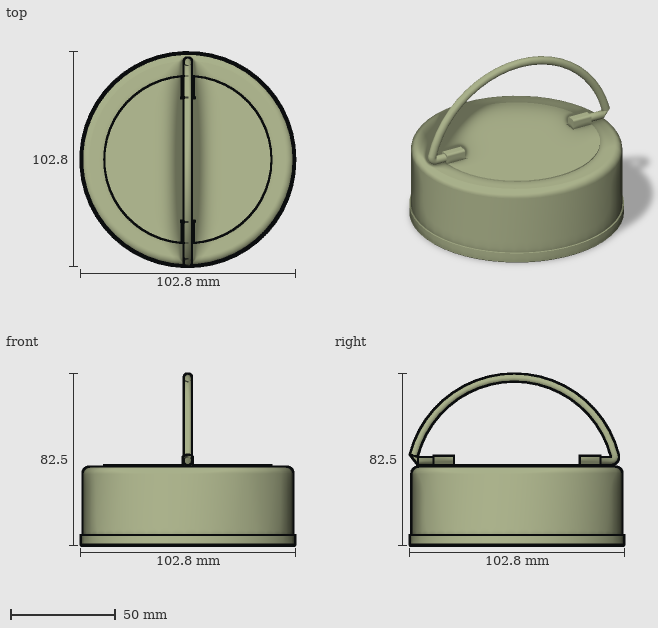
import cadquery as cq
import math

base_diameter = 102.8
base_height = 5.2
base_chamfer = 0.5

housing_diameter = 101.2
housing_top = 38.0
housing_fillet = 3.5
disc_diameter = 80.0
disc_height = 0.6
notch_clearance = 0.5
notch_relief_radius = 0.3

foot_length = 10.0
foot_width = 5.0
foot_height = 5.1
foot_fillet = 1.0
foot_outer_y = disc_diameter / 2
foot_inner_y = foot_outer_y - foot_length

wire_diameter = 4.0
wire_radius = wire_diameter / 2
elbow_radius = 2.1
wire_z = housing_top + foot_height / 2
front_pivot_y = -47.4
back_pivot_y = 44.8
pivot_z = wire_z + elbow_radius
overall_height = 82.5

arch_center_y = (front_pivot_y + back_pivot_y) / 2
half_span = (back_pivot_y - front_pivot_y) / 2
arch_rise = overall_height - wire_radius - elbow_radius - pivot_z
pivot_circle_radius = (half_span**2 + arch_rise**2) / (2 * arch_rise)
arch_radius = pivot_circle_radius + elbow_radius
arch_center_z = overall_height - wire_radius - arch_radius
arch_end_angle = math.asin((pivot_z - arch_center_z) / pivot_circle_radius)


def make_base():
    return (
        cq.Workplane("XY")
        .circle(base_diameter / 2)
        .extrude(base_height)
        .faces("<Z")
        .chamfer(base_chamfer)
    )


def make_housing():
    drum = (
        cq.Workplane("XY", origin=(0, 0, base_height))
        .circle(housing_diameter / 2)
        .extrude(housing_top - base_height)
        .faces(">Z")
        .edges()
        .fillet(housing_fillet)
    )
    disc = cq.Workplane("XY", origin=(0, 0, housing_top)).circle(disc_diameter / 2).extrude(disc_height)
    return drum.union(disc.cut(make_notches()))


def make_notches():
    """Cutters for the disc: open at its rim, clear of the feet, with relieved inner corners."""
    notch_length = foot_length + notch_clearance
    notch_inner_y = foot_inner_y - notch_clearance
    notch_y = notch_inner_y + notch_length / 2
    notch_width = foot_width + 2 * notch_clearance
    floor = cq.Workplane("XY", origin=(0, 0, housing_top))
    slots = floor.pushPoints([(0, -notch_y), (0, notch_y)]).rect(notch_width, notch_length).extrude(disc_height)
    reliefs = (
        floor.rect(notch_width, 2 * notch_inner_y, forConstruction=True)
        .vertices()
        .circle(notch_relief_radius)
        .extrude(disc_height)
    )
    return slots.union(reliefs)


def make_foot(side):
    """Block with rounded upper long edges; side is +1 for +Y and -1 for -Y."""
    return (
        cq.Workplane("XY", origin=(0, side * (foot_inner_y + foot_outer_y) / 2, housing_top))
        .rect(foot_width, foot_length)
        .extrude(foot_height)
        .edges("|Y and >Z")
        .fillet(foot_fillet)
    )


def make_stub(start_y, end_y):
    """Straight piece of wire from a foot out to its elbow."""
    direction = cq.Vector(0, end_y - start_y, 0)
    return cq.Workplane(
        cq.Solid.makeCylinder(wire_radius, direction.Length, cq.Vector(0, start_y, wire_z), direction)
    )


def arch_end_plane(side):
    """Plane square to the arch centre line at the end on the given side of Y."""
    y = arch_center_y + side * arch_radius * math.cos(arch_end_angle)
    z = arch_center_z + arch_radius * math.sin(arch_end_angle)
    upward = (0, -side * math.sin(arch_end_angle), math.cos(arch_end_angle))
    return cq.Plane(origin=(0, y, z), xDir=(1, 0, 0), normal=upward)


def make_arch():
    """Wire section turned about the arch centre, from the front end over to the back end."""
    sweep_angle = 180 - 2 * math.degrees(arch_end_angle)
    front_end = arch_end_plane(-1)
    return cq.Workplane(front_end).circle(wire_radius).revolve(
        sweep_angle, (1, arch_radius), (-1, arch_radius)
    )


def make_round_elbow():
    """Back elbow: the wire section turned about the pivot, from the stub up to the arch."""
    turn = 90 + math.degrees(arch_end_angle)
    return (
        cq.Workplane("XZ", origin=(0, back_pivot_y, wire_z))
        .circle(wire_radius)
        .revolve(turn, (-1, elbow_radius), (1, elbow_radius))
    )


def make_straight_elbow():
    """Front elbow: straight-sided wedge between the stub end and the arch end."""
    stub_end = cq.Plane(origin=(0, front_pivot_y, wire_z), xDir=(1, 0, 0), normal=(0, -1, 0))
    sections = [
        cq.Workplane(plane).circle(wire_radius).wires().val()
        for plane in (stub_end, arch_end_plane(-1))
    ]
    return cq.Workplane(cq.Solid.makeLoft(sections, True))


def make_handle():
    handle = make_arch().union(make_round_elbow()).union(make_straight_elbow())
    for side, pivot_y in ((1, back_pivot_y), (-1, front_pivot_y)):
        handle = handle.union(make_stub(side * foot_outer_y, pivot_y))
        handle = handle.union(make_foot(side))
    return handle


base = make_base()
housing = make_housing()
handle = make_handle()

result = cq.Compound.makeCompound([base.val(), housing.val(), handle.val()])